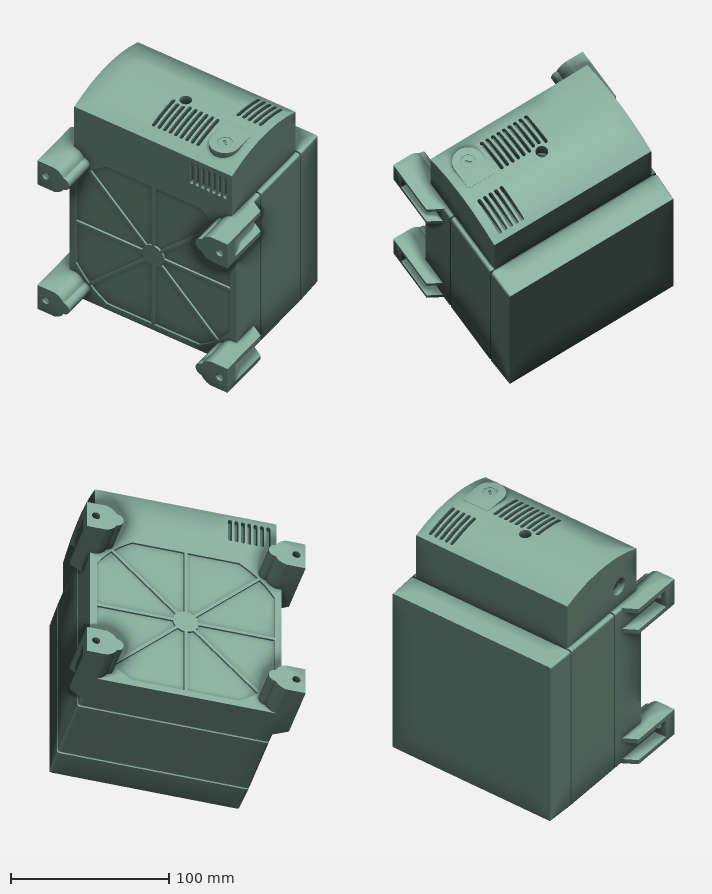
import cadquery as cq


body_side = 126.0
body_half = body_side / 2
body_edge_radius = 1.8
body_back = 72.8
seam_width = 1.3
seam_depth = 1.3
mid_seam_start = 27.1
center_z = body_half

cap_start = body_back + seam_width
cap_back = 94.0
cap_draft_deg = 2

hood_width = 119.2
eave_z = 160.2
crown_z = 167.2

grille_half = 58.3
grille_circle_radius = 68.0
grille_hub_radius = 8.4
grille_rib_width = 2.0
grille_rib_count = 4
grille_depth = 1.3

foot_height = 20.3
foot_front = -23.6
feet_span = 143.8
foot_outer_x = feet_span / 2
foot_round_radius = 10.4
foot_round_x = 61.5
foot_nose_radius = 4.7
foot_nose_x = 52.4
foot_slope_y = 14.2
foot_slope_end_y = 19.6
foot_pocket_height = 13.5
foot_pocket_front = -14.7
foot_hole_radius = 2.7
foot_hole_x = 65.8

slot_width = 2.5
slot_pitch = 4.2
roof_slot_floor_z = 159
rear_slot_count = 5
rear_slot_first_x = 35.2
rear_slot_y = (43.2, 68.8)
front_slot_count = 9
front_slot_first_x = -6.2
front_slot_y = (9.0, 34.0)
short_slots = (1, 2)
short_slot_back_y = 32.3
face_slot_count = 7
face_slot_first_x = 29.1
face_slot_z = (138.6, 156.3)
face_slot_depth = 3.3

platform_top_z = 167.4
platform_radius = 10.2
platform_x = 42.7
platform_center_y = 17.7
platform_back_y = 33.5
dial_radius = 5
dial_depth = 0.3
dial_slot_length = 4.5
dial_slot_width = 1.7
dial_slot_depth = 0.8
screwdriver_slot_angle = -45

roof_hole_y = 37.5
roof_hole_radius = 4.0
roof_hole_depth = 10
screw_radius = 3.2
screw_slot_width = 1.3
screw_slot_depth = 1.7
side_hole_y = 18.2
side_hole_z = 141.0
side_hole_radius = 5
side_hole_lip = 1.2
side_hole_depth = 4.2


def block(x, y, z):
    """Box given by its (low, high) limits along each axis."""
    sizes = [high - low for low, high in (x, y, z)]
    return cq.Workplane("XY").box(*sizes, centered=False).translate((x[0], y[0], z[0]))


def xz_plane(y):
    """Plane across Y whose normal points to the back; its local x axis is -X."""
    return cq.Workplane(cq.Plane((0, y, 0), xDir=(-1, 0, 0), normal=(0, 1, 0)))


def square_slab(start, end, side, edge_radius, draft_deg=0):
    """Square prism along Y with rounded corners, centred on the housing axis."""
    outline = cq.Sketch().rect(side, side).vertices().fillet(edge_radius)
    return xz_plane(start).center(0, center_z).placeSketch(outline).extrude(end - start, taper=draft_deg)


def make_housing():
    """Housing sections and rear cap joined by a narrower core that leaves the seams open."""
    core = square_slab(0, cap_back - seam_depth, body_side - 2 * seam_depth, body_edge_radius)
    front = square_slab(0, mid_seam_start, body_side, body_edge_radius)
    middle = square_slab(mid_seam_start + seam_width, body_back, body_side, body_edge_radius)
    cap = square_slab(cap_start, cap_back, body_side, body_edge_radius, cap_draft_deg)
    return front.union(core).union(middle).union(cap)


def make_hood():
    """Arched hood running down into the housing."""
    return (
        cq.Workplane("YZ", origin=(-hood_width / 2, 0, 0))
        .moveTo(0, center_z)
        .lineTo(0, eave_z)
        .threePointArc((body_back / 2, crown_z), (body_back, eave_z))
        .lineTo(body_back, center_z)
        .close()
        .extrude(hood_width)
    )


def make_grille_recess():
    """Eight shallow panels left between the hub and the radial ribs."""
    square = xz_plane(0).center(0, center_z).rect(2 * grille_half, 2 * grille_half).extrude(grille_depth)
    disc = xz_plane(0).center(0, center_z).circle(grille_circle_radius).extrude(grille_depth)
    recess = square.intersect(disc)
    recess = recess.cut(xz_plane(0).center(0, center_z).circle(grille_hub_radius).extrude(grille_depth))
    for index in range(grille_rib_count):
        rib = (
            xz_plane(0)
            .center(0, center_z)
            .transformed(rotate=(0, 0, index * 180 / grille_rib_count))
            .rect(2 * grille_circle_radius, grille_rib_width)
            .extrude(grille_depth)
        )
        recess = recess.cut(rib)
    return recess


def make_foot(bottom_z):
    """Foot on the +X side: rounded bar with a sloped rear end, an open side pocket and a screw hole."""
    mid_z = bottom_z + foot_height / 2
    length = foot_slope_end_y - foot_front
    limits_y = (foot_front, foot_slope_end_y)
    limits_z = (bottom_z, bottom_z + foot_height)
    bar = block((foot_round_x, foot_outer_x), limits_y, limits_z)
    for x, radius in ((foot_round_x, foot_round_radius), (foot_nose_x, foot_nose_radius)):
        bar = bar.union(xz_plane(foot_front).center(-x, mid_z).circle(radius).extrude(length))
    bar = bar.intersect(block((0, foot_outer_x), limits_y, limits_z))
    slope = (
        cq.Workplane("XY", origin=(0, 0, bottom_z))
        .moveTo(body_half, foot_slope_end_y)
        .lineTo(foot_outer_x, foot_slope_end_y)
        .lineTo(foot_outer_x, foot_slope_y)
        .close()
        .extrude(foot_height)
    )
    pocket = block(
        (body_half, foot_outer_x),
        (foot_pocket_front, foot_slope_end_y),
        (mid_z - foot_pocket_height / 2, mid_z + foot_pocket_height / 2),
    )
    hole = xz_plane(foot_front).center(-foot_hole_x, mid_z).circle(foot_hole_radius).extrude(length)
    return bar.cut(slope).cut(pocket).cut(hole)


def roof_slot(x, front_y, back_y):
    """Round-ended slot along Y with a flat floor, open upward through the roof."""
    return (
        cq.Workplane("XY", origin=(x, (front_y + back_y) / 2, roof_slot_floor_z))
        .slot2D(back_y - front_y, slot_width, 90)
        .extrude(platform_top_z - roof_slot_floor_z)
    )


def face_slot(x):
    """Round-ended upright slot in the front face."""
    low_z, high_z = face_slot_z
    return (
        xz_plane(0)
        .center(-x, (low_z + high_z) / 2)
        .slot2D(high_z - low_z, slot_width, 90)
        .extrude(face_slot_depth)
    )


def make_platform():
    """Flat platform with a round front end, a sunk dial and a diagonal screwdriver slot."""
    height = platform_top_z - eave_z
    left_x = platform_x - platform_radius
    right_x = platform_x + platform_radius
    top = cq.Workplane("XY", origin=(platform_x, platform_center_y, platform_top_z))
    dial = top.circle(dial_radius).extrude(-dial_depth)
    slot = (
        top.transformed(rotate=(0, 0, screwdriver_slot_angle))
        .rect(dial_slot_length, dial_slot_width)
        .extrude(-dial_depth - dial_slot_depth)
    )
    return (
        cq.Workplane("XY", origin=(0, 0, eave_z))
        .moveTo(left_x, platform_back_y)
        .lineTo(left_x, platform_center_y)
        .threePointArc((platform_x, platform_center_y - platform_radius), (right_x, platform_center_y))
        .lineTo(right_x, platform_back_y)
        .close()
        .extrude(height)
        .cut(dial)
        .cut(slot)
    )


def make_roof_hole():
    """Blind hole in the roof that leaves a domed screw head with a diagonal slot on its floor."""
    floor_z = platform_top_z - roof_hole_depth
    floor = cq.Workplane("XY", origin=(0, roof_hole_y, floor_z))
    bore = floor.circle(roof_hole_radius).extrude(roof_hole_depth)
    slot = (
        floor.workplane(offset=screw_radius - screw_slot_depth)
        .transformed(rotate=(0, 0, screwdriver_slot_angle))
        .rect(2 * screw_radius, screw_slot_width)
        .extrude(screw_slot_depth)
    )
    return bore.cut(floor.sphere(screw_radius).cut(slot))


def make_side_hole():
    """Blind hole in the -X wall of the hood with a conical lip."""
    wall = cq.Workplane("YZ", origin=(-hood_width / 2, 0, 0)).center(side_hole_y, side_hole_z)
    bore = wall.circle(side_hole_radius).extrude(side_hole_depth)
    lip = cq.Solid.makeCone(
        side_hole_radius + side_hole_lip,
        side_hole_radius,
        side_hole_lip,
        cq.Vector(-hood_width / 2, side_hole_y, side_hole_z),
        cq.Vector(1, 0, 0),
    )
    return bore.union(cq.Workplane(lip))


result = make_housing().union(make_hood())

for foot_bottom_z in (0, body_side - foot_height):
    foot = make_foot(foot_bottom_z)
    result = result.union(foot).union(foot.mirror("YZ"))

result = result.cut(make_grille_recess())

for index in range(rear_slot_count):
    result = result.cut(roof_slot(rear_slot_first_x + index * slot_pitch, *rear_slot_y))

for index in range(front_slot_count):
    slot_back_y = short_slot_back_y if index in short_slots else front_slot_y[1]
    result = result.cut(roof_slot(front_slot_first_x + index * slot_pitch, front_slot_y[0], slot_back_y))

for index in range(face_slot_count):
    result = result.cut(face_slot(face_slot_first_x + index * slot_pitch))

result = result.cut(make_roof_hole()).cut(make_side_hole())
result = result.union(make_platform())